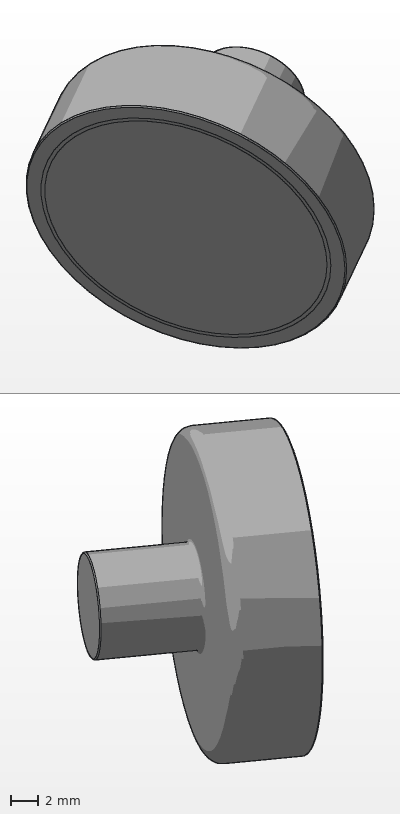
import cadquery as cq

HEAD_DIAMETER = 25.0
HEAD_THICKNESS = 7.0
TOTAL_LENGTH = 15.0
STEM_DIAMETER = 8.0
POCKET_DIAMETER = 22.6
POCKET_DEPTH = 5.0
MAGNET_DIAMETER = 22.0

BACK_EDGE_RADIUS = 1.0
NECK_RADIUS = 0.3
RIM_CHAMFER = 0.1
STEM_TIP_CHAMFER = 0.1


def disc(diameter, length):
    """Solid cylinder from the working face toward +Y."""
    return cq.Workplane("XZ").circle(diameter / 2).extrude(-length)


def make_housing():
    """Cup-shaped head with a stem on its back, and a pocket in its working face."""
    head = disc(HEAD_DIAMETER, HEAD_THICKNESS)
    head = head.faces("<Y").edges().chamfer(RIM_CHAMFER)
    head = head.faces(">Y").edges().fillet(BACK_EDGE_RADIUS)

    stem = disc(STEM_DIAMETER, TOTAL_LENGTH)
    stem = stem.faces(">Y").edges().chamfer(STEM_TIP_CHAMFER)

    body = head.union(stem)
    back_face = body.faces(cq.NearestToPointSelector((0, HEAD_THICKNESS, 0)))
    neck_edge = cq.selectors.RadiusNthSelector(0)
    body = back_face.edges(neck_edge).fillet(NECK_RADIUS)
    return body.cut(disc(POCKET_DIAMETER, POCKET_DEPTH))


def make_spacer_ring():
    """Thin sleeve filling the gap between the pocket wall and the magnet."""
    return disc(POCKET_DIAMETER, POCKET_DEPTH).cut(disc(MAGNET_DIAMETER, POCKET_DEPTH))


def make_magnet():
    """Plain disc magnet, flush with the rim."""
    return disc(MAGNET_DIAMETER, POCKET_DEPTH)


housing = make_housing()
spacer_ring = make_spacer_ring()
magnet = make_magnet()

result = cq.Compound.makeCompound([housing.solids().val(), spacer_ring.solids().val(), magnet.val()])